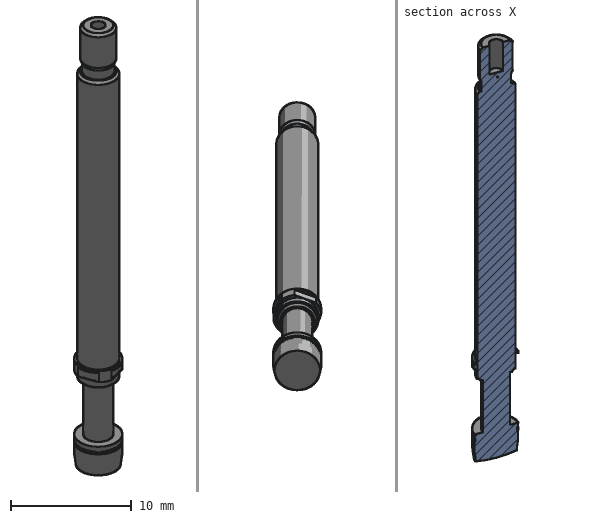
import cadquery as cq

total_length = 43.1

head_radius = 2.0
head_top = 3.08
head_groove_top = 2.54
head_groove_width = 0.2
head_groove_depth = 0.1
head_taper_top = 1.2
head_bottom_radius = 1.88
head_dome_height = 0.2

shaft_radius = 1.25

barrel_radius = 1.75
barrel_bottom = 8.5
barrel_top = 38.6
barrel_top_chamfer = 0.25
barrel_nose_upper_radius = 1.62
barrel_nose_lower_radius = 1.42
barrel_nose_height = 0.25

collar_radius = 2.0
collar_bottom = 9.4
collar_top = 10.48
collar_lip_thickness = 0.17
flat_count = 4

neck_radius = 1.35
cap_radius = 1.5
cap_bottom = 39.5
cap_lower_chamfer_height = 0.35
cap_top_chamfer = 0.25

hole_diameter = 1.2
hole_depth = 3.0


def turned_body():
    """Revolve the half outline (radius, height) about the Z axis."""
    groove_radius = head_radius - head_groove_depth
    groove_bottom = head_groove_top - head_groove_width
    sphere_radius = (head_bottom_radius**2 + head_dome_height**2) / (2 * head_dome_height)
    arc_mid_radius = head_bottom_radius / 2
    arc_mid_height = sphere_radius - (sphere_radius**2 - arc_mid_radius**2) ** 0.5
    barrel_shoulder = barrel_bottom + barrel_nose_height

    outline = (
        cq.Workplane("XZ")
        .moveTo(0, 0)
        .threePointArc((arc_mid_radius, arc_mid_height), (head_bottom_radius, head_dome_height))
        .lineTo(head_radius, head_taper_top)
        .lineTo(head_radius, groove_bottom)
        .lineTo(groove_radius, groove_bottom)
        .lineTo(groove_radius, head_groove_top)
        .lineTo(head_radius, head_groove_top)
        .lineTo(head_radius, head_top)
        .lineTo(shaft_radius, head_top)
        .lineTo(shaft_radius, barrel_bottom)
        .lineTo(barrel_nose_lower_radius, barrel_bottom)
        .lineTo(barrel_nose_upper_radius, barrel_shoulder)
        .lineTo(barrel_radius, barrel_shoulder)
        .lineTo(barrel_radius, barrel_top - barrel_top_chamfer)
        .lineTo(barrel_radius - barrel_top_chamfer, barrel_top)
        .lineTo(neck_radius, barrel_top)
        .lineTo(neck_radius, cap_bottom)
        .lineTo(cap_radius, cap_bottom + cap_lower_chamfer_height)
        .lineTo(cap_radius, total_length - cap_top_chamfer)
        .lineTo(cap_radius - cap_top_chamfer, total_length)
        .lineTo(0, total_length)
        .close()
    )
    return outline.revolve(360, (0, 0, 0), (0, 1, 0))


def collar():
    """Round collar with flats level with the barrel surface, below a thin lip."""
    ring = (
        cq.Workplane("XY")
        .workplane(offset=collar_bottom)
        .circle(collar_radius)
        .extrude(collar_top - collar_bottom)
    )
    flat_height = collar_top - collar_lip_thickness - collar_bottom
    cut_depth = collar_radius - barrel_radius
    for i in range(flat_count):
        cutter = (
            cq.Workplane("XY")
            .box(cut_depth, 2 * collar_radius, flat_height, centered=(False, True, False))
            .translate((barrel_radius, 0, collar_bottom))
            .rotate((0, 0, 0), (0, 0, 1), i * 360 / flat_count)
        )
        ring = ring.cut(cutter)
    return ring


def end_hole():
    """Flat-bottomed blind hole in the upper end."""
    return (
        cq.Workplane("XY")
        .workplane(offset=total_length - hole_depth)
        .circle(hole_diameter / 2)
        .extrude(hole_depth)
    )


result = turned_body().union(collar()).cut(end_hole())